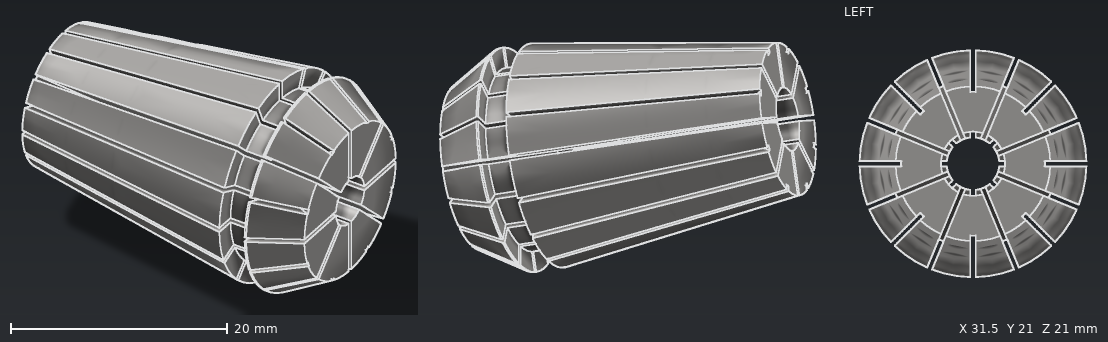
import cadquery as cq
import math

length = 31.5
max_diameter = 21.0
max_radius = max_diameter / 2

taper_length = 23.88
taper_half_angle = 8.0
small_end_radius = max_radius - taper_length * math.tan(math.radians(taper_half_angle))

neck_radius = 8.6
nose_start = 26.65
nose_land = 0.2
nose_half_angle = 30.0
cone_start = nose_start + nose_land
nose_end_radius = max_radius - (length - cone_start) * math.tan(math.radians(nose_half_angle))

bore_radius = 2.43
relief_radius = 2.95
relief_depth = 15.75

slots_per_set = 8
slot_pitch = 360.0 / slots_per_set
slot_width = 0.47

nose_saw_radius = 24.57
nose_slot_floor = 6.68

tail_saw_radius = 37.8
tail_slot_floor = 7.7


def make_body():
    """Revolve the outer outline, then cut the stepped bore."""
    outline = [
        (0, 0),
        (0, small_end_radius),
        (taper_length, max_radius),
        (taper_length, neck_radius),
        (nose_start, neck_radius),
        (nose_start, max_radius),
        (cone_start, max_radius),
        (length, nose_end_radius),
        (length, 0),
    ]
    body = cq.Workplane("XY").polyline(outline).close().revolve(360, (0, 0, 0), (1, 0, 0))
    bore = cq.Workplane("YZ").circle(bore_radius).extrude(length)
    relief = cq.Workplane("YZ").circle(relief_radius).extrude(relief_depth)
    return body.cut(bore).cut(relief)


def saw_offset(saw_radius, floor):
    """Distance along X from the saw centre to where its rim crosses the floor radius."""
    return math.sqrt(saw_radius**2 - (saw_radius - floor) ** 2)


def cut_slots(body, saw_radius, saw_x, open_end, first_angle):
    """Plunge a disc saw to the axis at saw_x and run it to the open end, at every slot angle."""
    disc = (
        cq.Workplane("XY")
        .center(saw_x, saw_radius)
        .circle(saw_radius)
        .extrude(slot_width / 2, both=True)
    )
    run_out = (
        cq.Workplane("XY")
        .center((saw_x + open_end) / 2, saw_radius)
        .rect(abs(open_end - saw_x), 2 * saw_radius)
        .extrude(slot_width / 2, both=True)
    )
    cutter = disc.union(run_out)
    for i in range(slots_per_set):
        body = body.cut(cutter.rotate((0, 0, 0), (1, 0, 0), first_angle + i * slot_pitch))
    return body


nose_saw_x = saw_offset(nose_saw_radius, nose_slot_floor)
tail_saw_x = length - saw_offset(tail_saw_radius, tail_slot_floor)

result = make_body()
result = cut_slots(result, nose_saw_radius, nose_saw_x, length, 0)
result = cut_slots(result, tail_saw_radius, tail_saw_x, 0, slot_pitch / 2)